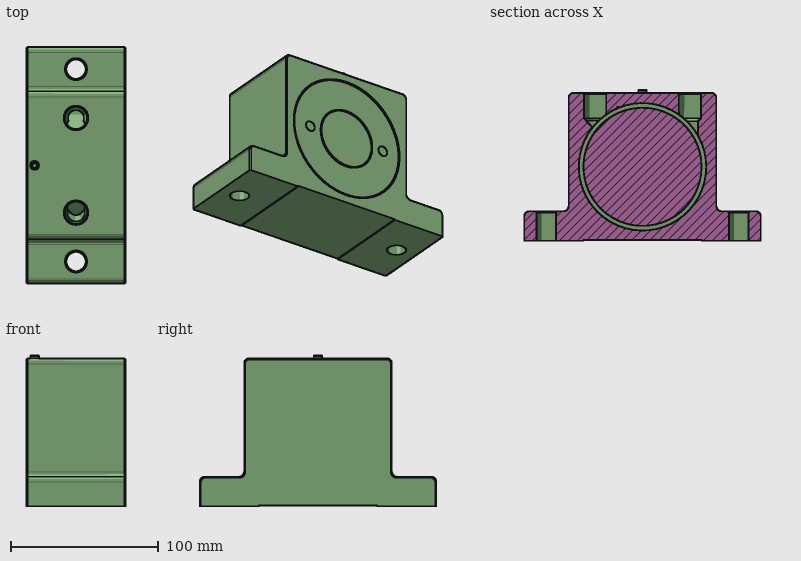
import cadquery as cq
import math

WIDTH = 67.0
LENGTH = 160.0
BODY_LENGTH = 100.0
BODY_HEIGHT = 100.0
FOOT_HEIGHT = 20.0
EDGE_RADIUS = 3.5
SIDE_CHAMFER = 0.8
RELIEF_LENGTH = 80.0
RELIEF_DEPTH = 0.5

FOOT_HOLE_DIAMETER = 13.0
FOOT_HOLE_CHAMFER = 1.0
FOOT_HOLE_Y = 65.0

AXIS_Z = 50.0
COVER_DIAMETER = 86.4
COVER_GROOVE_WIDTH = 0.4
COVER_GROOVE_DEPTH = 0.5
COVER_SEAT_BEVEL = 0.4
HUB_DIAMETER = 42.8
HUB_INNER_DIAMETER = 41.5
HUB_GROOVE_DEPTH = 0.5
SPANNER_HOLE_DIAMETER = 7.2
SPANNER_HOLE_Y = 30.0
SPANNER_HOLE_DEPTH = 0.2

CHAMBER_DIAMETER = 86.0
ROTOR_DIAMETER = 80.0
CHAMBER_WIDTH = 30.0

PORT_DIAMETER = 14.95
PORT_RIM_DIAMETER = 16.7
PORT_Y = 32.0
PORT_DEPTH = 17.2
PORT_TIP_SLOPE = 1.0
OUTLET_PASSAGE_DIAMETER = 10.8
INLET_STEP_DIAMETER = 12.0
INLET_STEP_DEPTH = 0.3

SCREW_X = -28.0
SCREW_DIAMETER = 6.0
SCREW_TOP_DIAMETER = 4.92
SCREW_HEIGHT = 2.0
SOCKET_RIM_DIAMETER = 3.28
SOCKET_DIAMETER = 2.95
SOCKET_TIP_SLOPE = 0.6


def x_cylinder(diameter, x_start, length, y=0.0):
    return cq.Workplane("YZ", origin=(x_start, y, AXIS_Z)).circle(diameter / 2).extrude(length)


def z_cylinder(diameter, x, y, z_top, depth):
    return cq.Workplane("XY", origin=(x, y, z_top - depth)).circle(diameter / 2).extrude(depth)


def z_cone(x, y, z_top, top_diameter, bottom_diameter, depth):
    cone = cq.Solid.makeCone(
        top_diameter / 2, bottom_diameter / 2, depth, cq.Vector(x, y, z_top), cq.Vector(0, 0, -1)
    )
    return cq.Workplane(obj=cone)


def make_housing():
    half_body = BODY_LENGTH / 2
    half_foot = LENGTH / 2
    housing = (
        cq.Workplane("YZ", origin=(-WIDTH / 2, 0, 0))
        .moveTo(-half_foot, 0)
        .lineTo(half_foot, 0)
        .lineTo(half_foot, FOOT_HEIGHT)
        .lineTo(half_body, FOOT_HEIGHT)
        .lineTo(half_body, BODY_HEIGHT)
        .lineTo(-half_body, BODY_HEIGHT)
        .lineTo(-half_body, FOOT_HEIGHT)
        .lineTo(-half_foot, FOOT_HEIGHT)
        .close()
        .extrude(WIDTH)
    )
    housing = housing.edges("|X and (not <Z)").fillet(EDGE_RADIUS)
    housing = housing.faces("<X or >X").edges("not <Z").chamfer(SIDE_CHAMFER)
    relief = cq.Workplane("XY").box(WIDTH, RELIEF_LENGTH, RELIEF_DEPTH, centered=(True, True, False))
    return housing.cut(relief)


def cut_foot_holes(body):
    rim = FOOT_HOLE_DIAMETER + 2 * FOOT_HOLE_CHAMFER
    for y in (-FOOT_HOLE_Y, FOOT_HOLE_Y):
        body = body.cut(z_cylinder(FOOT_HOLE_DIAMETER, 0, y, FOOT_HEIGHT, FOOT_HEIGHT))
        body = body.cut(z_cone(0, y, FOOT_HEIGHT, rim, FOOT_HOLE_DIAMETER, FOOT_HOLE_CHAMFER))
    return body


def make_seat_bevel(seat_diameter):
    face_centre = cq.Vector(-WIDTH / 2, 0, AXIS_Z)
    seat_radius = seat_diameter / 2
    rim_radius = seat_radius + COVER_SEAT_BEVEL
    cone = cq.Solid.makeCone(rim_radius, seat_radius, COVER_SEAT_BEVEL, face_centre, cq.Vector(1, 0, 0))
    return cq.Workplane(obj=cone)


def cut_cover_marks(body):
    face_x = -WIDTH / 2
    seat_diameter = COVER_DIAMETER + 2 * COVER_GROOVE_WIDTH
    seat = x_cylinder(seat_diameter, face_x, COVER_GROOVE_DEPTH).union(make_seat_bevel(seat_diameter))
    body = body.cut(seat.cut(x_cylinder(COVER_DIAMETER, face_x, COVER_GROOVE_DEPTH)))
    hub_outer = x_cylinder(HUB_DIAMETER, face_x, HUB_GROOVE_DEPTH)
    hub_inner = x_cylinder(HUB_INNER_DIAMETER, face_x, HUB_GROOVE_DEPTH)
    body = body.cut(hub_outer.cut(hub_inner))
    for y in (-SPANNER_HOLE_Y, SPANNER_HOLE_Y):
        body = body.cut(x_cylinder(SPANNER_HOLE_DIAMETER, face_x, SPANNER_HOLE_DEPTH, y))
    return body


def cut_chamber(body):
    return body.cut(x_cylinder(CHAMBER_DIAMETER, -CHAMBER_WIDTH / 2, CHAMBER_WIDTH))


def add_rotor(body):
    return body.union(x_cylinder(ROTOR_DIAMETER, -CHAMBER_WIDTH / 2, CHAMBER_WIDTH))


def cut_threaded_bore(body, y):
    rim_depth = (PORT_RIM_DIAMETER - PORT_DIAMETER) / 2
    body = body.cut(z_cylinder(PORT_DIAMETER, 0, y, BODY_HEIGHT, PORT_DEPTH))
    return body.cut(z_cone(0, y, BODY_HEIGHT, PORT_RIM_DIAMETER, PORT_DIAMETER, rim_depth))


def cut_outlet_port(body):
    body = cut_threaded_bore(body, PORT_Y)
    shoulder_z = BODY_HEIGHT - PORT_DEPTH
    shoulder_depth = (PORT_DIAMETER - OUTLET_PASSAGE_DIAMETER) / 2 * PORT_TIP_SLOPE
    body = body.cut(z_cone(0, PORT_Y, shoulder_z, PORT_DIAMETER, OUTLET_PASSAGE_DIAMETER, shoulder_depth))
    return body.cut(z_cylinder(OUTLET_PASSAGE_DIAMETER, 0, PORT_Y, shoulder_z, shoulder_z - AXIS_Z))


def cut_inlet_port(body):
    body = cut_threaded_bore(body, -PORT_Y)
    shoulder_z = BODY_HEIGHT - PORT_DEPTH
    shoulder_depth = (PORT_DIAMETER - INLET_STEP_DIAMETER) / 2 * PORT_TIP_SLOPE
    step_z = shoulder_z - shoulder_depth
    tip_z = step_z - INLET_STEP_DEPTH
    tip_depth = INLET_STEP_DIAMETER / 2 * PORT_TIP_SLOPE
    body = body.cut(z_cone(0, -PORT_Y, shoulder_z, PORT_DIAMETER, INLET_STEP_DIAMETER, shoulder_depth))
    body = body.cut(z_cylinder(INLET_STEP_DIAMETER, 0, -PORT_Y, step_z, INLET_STEP_DEPTH))
    return body.cut(z_cone(0, -PORT_Y, tip_z, INLET_STEP_DIAMETER, 0, tip_depth))


def add_screw(body):
    bevel = (SCREW_DIAMETER - SCREW_TOP_DIAMETER) / 2
    top_z = BODY_HEIGHT + SCREW_HEIGHT
    body = body.union(z_cylinder(SCREW_DIAMETER, SCREW_X, 0, top_z - bevel, SCREW_HEIGHT - bevel))
    body = body.union(z_cone(SCREW_X, 0, top_z, SCREW_TOP_DIAMETER, SCREW_DIAMETER, bevel))
    rim_depth = (SOCKET_RIM_DIAMETER - SOCKET_DIAMETER) / 2
    body = body.cut(z_cone(SCREW_X, 0, top_z, SOCKET_RIM_DIAMETER, SOCKET_DIAMETER, rim_depth))
    tip_depth = SOCKET_DIAMETER / 2 * SOCKET_TIP_SLOPE
    return body.cut(z_cone(SCREW_X, 0, top_z - rim_depth, SOCKET_DIAMETER, 0, tip_depth))


body = make_housing()
body = cut_foot_holes(body)
body = cut_cover_marks(body)
body = cut_chamber(body)
body = cut_outlet_port(body)
body = cut_inlet_port(body)
body = add_rotor(body)
result = add_screw(body)